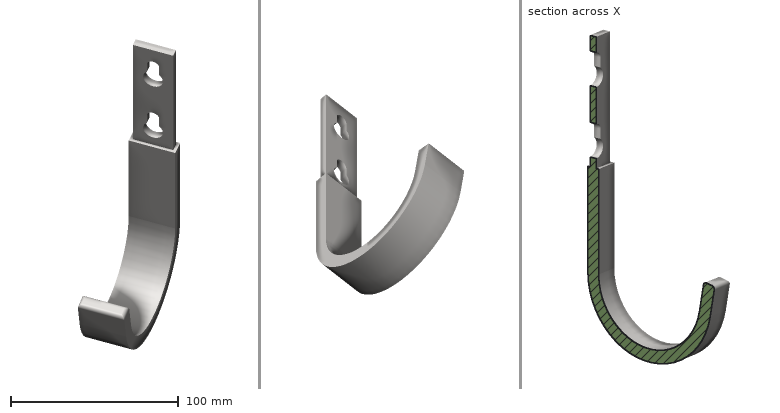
import cadquery as cq
import math

total_height = 196.5
hook_width = 29.5
hook_thickness = 8.6

bend_outer_radius = 47.2
bend_inner_radius = bend_outer_radius - hook_thickness
shank_top = 113.6
tip_lean = math.radians(10)
tip_length = 19.9
tip_edge_radius = 2.4

strip_width = 25.5
strip_thickness = 5.0

keyhole_radius = 6.3
keyhole_neck_radius = 4.0
keyhole_neck_rise = 11.4
keyhole_pitch = 45.0
upper_keyhole_height = total_height - 25.4

bend_height = bend_outer_radius
shank_center_y = bend_outer_radius - hook_thickness / 2


def bend_point(radius, angle):
    """Point (y, z) at an angle below the -Y direction, around the bend axis."""
    return (-radius * math.cos(angle), bend_height - radius * math.sin(angle))


def tip_point(radius):
    """Point (y, z) at the end of the straight tip, tangent to the given radius."""
    y, z = bend_point(radius, tip_lean)
    return (y - tip_length * math.sin(tip_lean), z + tip_length * math.cos(tip_lean))


def make_hook():
    bottom = math.pi / 2
    profile = (
        cq.Workplane("YZ")
        .moveTo(bend_outer_radius, shank_top)
        .lineTo(bend_outer_radius, bend_height)
        .threePointArc(bend_point(bend_outer_radius, bottom), bend_point(bend_outer_radius, tip_lean))
        .lineTo(*tip_point(bend_outer_radius))
        .lineTo(*tip_point(bend_inner_radius))
        .lineTo(*bend_point(bend_inner_radius, tip_lean))
        .threePointArc(bend_point(bend_inner_radius, bottom), (bend_inner_radius, bend_height))
        .lineTo(bend_inner_radius, shank_top)
        .close()
    )
    hook = profile.extrude(hook_width / 2, both=True)

    tip_end = (0, *tip_point((bend_outer_radius + bend_inner_radius) / 2))
    tip_face = hook.faces(cq.selectors.NearestToPointSelector(tip_end))
    return tip_face.edges().fillet(tip_edge_radius)


def make_strip():
    height = total_height - shank_top
    return (
        cq.Workplane("XY", origin=(0, shank_center_y, shank_top))
        .rect(strip_width, strip_thickness)
        .extrude(height)
    )


def make_keyhole(height):
    plane = cq.Workplane("XZ", origin=(0, shank_center_y, height))
    opening = plane.circle(keyhole_radius).extrude(strip_thickness, both=True)
    neck = (
        plane.moveTo(-keyhole_neck_radius, 0)
        .lineTo(-keyhole_neck_radius, keyhole_neck_rise)
        .threePointArc(
            (0, keyhole_neck_rise + keyhole_neck_radius),
            (keyhole_neck_radius, keyhole_neck_rise),
        )
        .lineTo(keyhole_neck_radius, 0)
        .close()
        .extrude(strip_thickness, both=True)
    )
    return opening.union(neck)


result = make_hook().union(make_strip())
for index in range(2):
    result = result.cut(make_keyhole(upper_keyhole_height - index * keyhole_pitch))